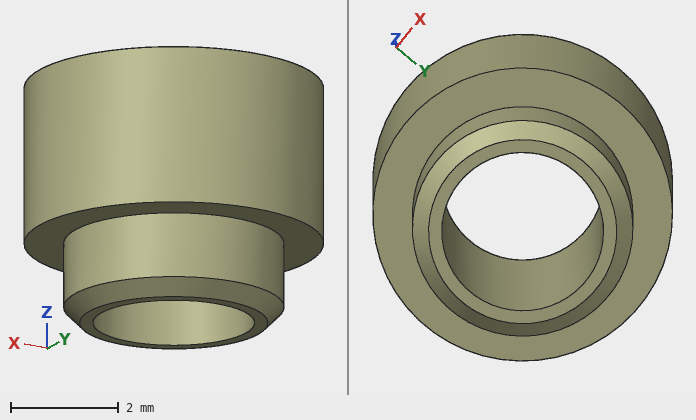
import cadquery as cq

head_diameter = 5.56
head_height = 3.0
shank_diameter = 4.09
shank_length = 1.53
bore_diameter = 3.0
lead_in_chamfer = 0.3


def make_head():
    """Large cylinder standing on the shoulder plane."""
    return cq.Workplane("XY").circle(head_diameter / 2).extrude(head_height)


def make_shank():
    """Press-in shank below the shoulder, chamfered at its free end."""
    shank = cq.Workplane("XY").circle(shank_diameter / 2).extrude(-shank_length)
    return shank.faces("<Z").edges().chamfer(lead_in_chamfer)


def make_bore():
    """Straight through bore along the full length."""
    total_length = head_height + shank_length
    return (
        cq.Workplane("XY")
        .workplane(offset=-shank_length)
        .circle(bore_diameter / 2)
        .extrude(total_length)
    )


result = make_head().union(make_shank()).cut(make_bore())